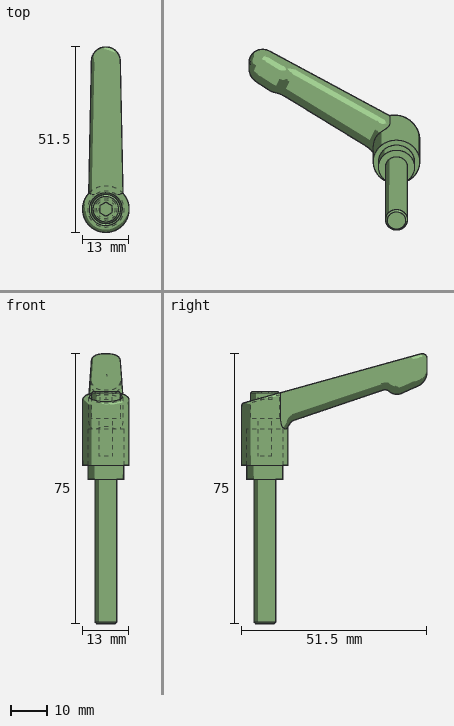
import cadquery as cq
import math

BUSH_BOTTOM_Z = 40.05
HUB_BOTTOM_Z = 43.95
TOP_AXIS_Z = 62.9
SCREW_TOP_Z = 64.5

HUB_RADIUS = 6.49
HUB_EDGE_FILLET = 1.0
TOP_SLOPE = math.radians(15.5)

HANDLE_START_Y = 4.1
HANDLE_END_Y = 45.04
ROOT_HALF_WIDTH = 4.8
TIP_RADIUS = 4.05
TOP_EDGE_FILLET = 1.35
LOWER_EDGE_FILLET = 3.0

ROOT_Y = 7.35
ROOT_Z = 56.2
ROOT_DROP = 5.25
UNDERSIDE_SLOPE = math.radians(18.7)
NOTCH_Y = 33.6
BUMP_Y = 36.2
BUMP_Z = 63.15
END_LOWER_Z = 67.05
ROOT_BLEND = 2.25
NOTCH_BLEND = 1.5
BUMP_BLEND = 3.15
END_BLEND = 4.5

SCREW_HEAD_RADIUS = 4.05
SCREW_HEAD_BOTTOM_Z = 57.0
SCREW_HEAD_CHAMFER = 0.5
SCREW_SHANK_RADIUS = 1.9
SCREW_BOTTOM_Z = 46.5
HEX_ACROSS_FLATS = 3.4
HEX_DEPTH = 2.25
BORE_CHAMFER = 0.5

BUSH_RADIUS = 5.0
BUSH_TOP_Z = 54.0
STUD_RADIUS = 3.1
STUD_CHAMFER = 0.5


def top_plane_z(y):
    """Height of the sloped top plane at a given Y."""
    return TOP_AXIS_Z + y * math.tan(TOP_SLOPE)


def cylinder(radius, bottom, top):
    """Cylinder on the hub axis between two levels."""
    return cq.Workplane("XY").workplane(offset=bottom).circle(radius).extrude(top - bottom)


def make_hub():
    """Round hub with its top cut along the slope and its rim rounded."""
    reach = 2 * HUB_RADIUS
    block = (
        cq.Workplane("YZ")
        .moveTo(-reach, HUB_BOTTOM_Z)
        .lineTo(reach, HUB_BOTTOM_Z)
        .lineTo(reach, top_plane_z(reach))
        .lineTo(-reach, top_plane_z(-reach))
        .close()
        .extrude(reach, both=True)
    )
    hub = cylinder(HUB_RADIUS, HUB_BOTTOM_Z, top_plane_z(reach)).intersect(block)
    return hub.faces(">Z").edges().fillet(HUB_EDGE_FILLET)


def corner_blend(body, y, z, radius):
    """Round the crosswise profile edge that passes through (y, z)."""
    return body.edges("|X").edges(cq.selectors.NearestToPointSelector((0, y, z))).fillet(radius)


def make_handle():
    """Tapered grip with a round tip and a finger bump underneath."""
    notch_z = ROOT_Z + (NOTCH_Y - ROOT_Y) * math.tan(UNDERSIDE_SLOPE)
    side = (
        cq.Workplane("YZ")
        .moveTo(HANDLE_START_Y, top_plane_z(HANDLE_START_Y))
        .lineTo(HANDLE_END_Y, top_plane_z(HANDLE_END_Y))
        .lineTo(HANDLE_END_Y, END_LOWER_Z)
        .lineTo(BUMP_Y, BUMP_Z)
        .lineTo(NOTCH_Y, notch_z)
        .lineTo(ROOT_Y, ROOT_Z)
        .lineTo(HANDLE_START_Y, ROOT_Z - ROOT_DROP)
        .close()
        .extrude(2 * HUB_RADIUS, both=True)
    )
    side = corner_blend(side, HANDLE_END_Y, END_LOWER_Z, END_BLEND)
    side = corner_blend(side, BUMP_Y, BUMP_Z, BUMP_BLEND)
    side = corner_blend(side, NOTCH_Y, notch_z, NOTCH_BLEND)
    side = corner_blend(side, ROOT_Y, ROOT_Z, ROOT_BLEND)

    tip_y = HANDLE_END_Y - TIP_RADIUS
    taper = math.atan((ROOT_HALF_WIDTH - TIP_RADIUS) / (tip_y - HANDLE_START_Y))
    tangent_x = TIP_RADIUS * math.cos(taper)
    tangent_y = tip_y + TIP_RADIUS * math.sin(taper)
    plan = (
        cq.Workplane("XY")
        .moveTo(-ROOT_HALF_WIDTH, HANDLE_START_Y)
        .lineTo(-tangent_x, tangent_y)
        .threePointArc((0, HANDLE_END_Y), (tangent_x, tangent_y))
        .lineTo(ROOT_HALF_WIDTH, HANDLE_START_Y)
        .close()
        .extrude(2 * TOP_AXIS_Z)
    )
    handle = side.intersect(plan)

    root_edges = handle.faces("<Y").edges().vals()
    upright_edges = handle.edges("|Z").vals()
    top_edges = handle.faces(cq.selectors.DirectionMinMaxSelector(
        cq.Vector(0, -math.sin(TOP_SLOPE), math.cos(TOP_SLOPE)))).edges().vals()
    skip = root_edges + upright_edges + top_edges
    lower_edges = [
        edge for edge in handle.edges().vals()
        if abs(edge.Center().x) > TIP_RADIUS / 2 and not any(edge.isSame(other) for other in skip)
    ]
    top_edges = [edge for edge in top_edges if not any(edge.isSame(other) for other in root_edges)]
    handle = handle.newObject(lower_edges).fillet(LOWER_EDGE_FILLET)
    return handle.newObject(top_edges).fillet(TOP_EDGE_FILLET)


def make_lever():
    """Hub and handle in one piece, bored for the screw and the bush."""
    lever = make_hub().union(make_handle())
    lever = lever.cut(cylinder(SCREW_HEAD_RADIUS, SCREW_HEAD_BOTTOM_Z, SCREW_TOP_Z + HUB_RADIUS))
    rim = cq.selectors.NearestToPointSelector((0, 0, TOP_AXIS_Z))
    lever = lever.edges(rim).chamfer(BORE_CHAMFER)
    lever = lever.cut(cylinder(SCREW_SHANK_RADIUS, BUSH_TOP_Z, SCREW_HEAD_BOTTOM_Z))
    return lever.cut(cylinder(BUSH_RADIUS, HUB_BOTTOM_Z, BUSH_TOP_Z))


def make_screw():
    """Cylinder-head screw with a hexagon socket."""
    head = cylinder(SCREW_HEAD_RADIUS, SCREW_HEAD_BOTTOM_Z, SCREW_TOP_Z)
    head = head.faces(">Z").edges().chamfer(SCREW_HEAD_CHAMFER)
    socket = (
        cq.Workplane("XY")
        .workplane(offset=SCREW_TOP_Z - HEX_DEPTH)
        .polygon(6, HEX_ACROSS_FLATS, circumscribed=True)
        .extrude(HEX_DEPTH)
    )
    shank = cylinder(SCREW_SHANK_RADIUS, SCREW_BOTTOM_Z, SCREW_HEAD_BOTTOM_Z)
    return head.cut(socket).union(shank)


def make_threaded_insert():
    """Bush held in the hub, with the long stud below and the screw hole above."""
    bush = cylinder(BUSH_RADIUS, BUSH_BOTTOM_Z, BUSH_TOP_Z)
    screw_hole = cylinder(SCREW_SHANK_RADIUS, SCREW_BOTTOM_Z, BUSH_TOP_Z)
    stud = cylinder(STUD_RADIUS, 0, BUSH_BOTTOM_Z).faces("<Z").edges().chamfer(STUD_CHAMFER)
    return bush.cut(screw_hole).union(stud)


lever = make_lever()
screw = make_screw()
threaded_insert = make_threaded_insert()

result = cq.Compound.makeCompound([lever.val(), screw.val(), threaded_insert.val()])